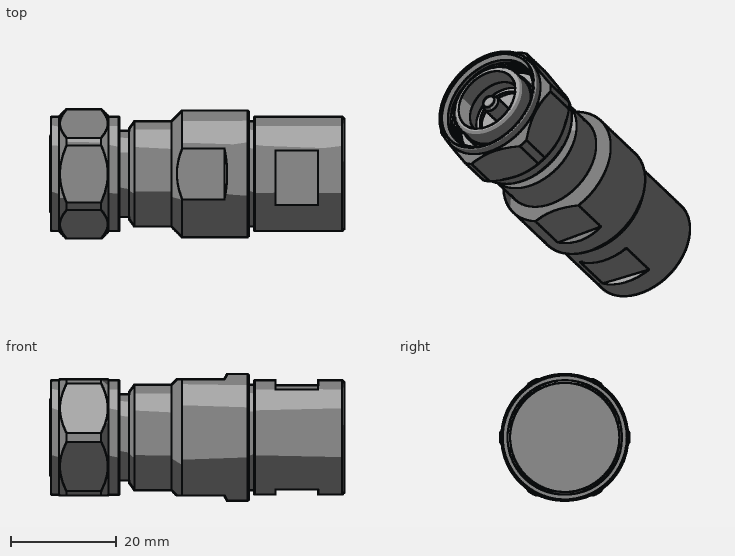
import cadquery as cq
import math


nut_start = 0.2
nut_radius = 10.85
nut_end = 13.15
nut_front_rounding = 0.3
nut_rear_chamfer = 0.15
hex_start = 1.75
hex_end = 11.1
hex_across_flats = 22.0
hex_corner_radius = 12.245

thread_minor_radius = 9.5
thread_major_radius = 10.0
thread_pitch = 0.75
thread_start = 2.2
thread_ring_count = 5
nut_mouth_radius = 10.3
nut_mouth_depth = 0.25
nut_bore_floor = 6.1

sleeve_radius = 7.55
sleeve_tip_rounding = 0.7
sleeve_mouth_radius = 6.3
sleeve_throat_radius = 5.65
sleeve_throat_depth = 3.0
sleeve_bore_radius = 5.95
sleeve_bore_depth = 5.7
collar_radius = 7.75
collar_start = 3.5
insulator_recess_radius = 5.15
insulator_depth = 6.4

pin_radius = 1.65
pin_tip_radius = 1.22
pin_tip = 0.42
pin_tip_rounding = 0.27
pin_taper_end = 1.4

neck_radius = 8.17
shoulder_start = 15.0
shoulder_start_radius = 8.6
shoulder_end = 16.0
shoulder_radius = 10.0
body_cone_start = 23.0
body_radius = 12.0
body_end = 37.6
body_edge_chamfer = 0.27
body_across_flats = 22.0
body_flat_end = 32.97
body_flat_runout = 0.55
groove_radius = 10.0

rear_start = 38.6
rear_end = 55.71
rear_radius = 10.82
rear_front_chamfer = 0.15
rear_end_chamfer = 0.5
rear_across_flats = 19.0
rear_flat_start = 42.67
rear_flat_end = 50.72
rear_flat_tilt = 4.3


def revolve_about_x(sketch):
    return sketch.close().revolve(360, (0, 0, 0), (1, 0, 0))


def quarter_round(face_x, outer_radius, rounding):
    """Middle and end point of the arc from a front face at face_x to the outer radius."""
    inset = rounding * (1 - math.sqrt(0.5))
    middle = (face_x + inset, outer_radius - inset)
    end = (face_x + rounding, outer_radius)
    return middle, end


def main_body():
    """Turned envelope from the nut face to the cable end, without the hexagon."""
    cone_end = body_cone_start + body_radius - shoulder_radius
    return revolve_about_x(
        cq.Workplane("XY")
        .moveTo(nut_start, 0)
        .lineTo(nut_start, nut_radius - nut_front_rounding)
        .threePointArc(*quarter_round(nut_start, nut_radius, nut_front_rounding))
        .lineTo(nut_end - nut_rear_chamfer, nut_radius)
        .lineTo(nut_end, nut_radius - nut_rear_chamfer)
        .lineTo(nut_end, neck_radius)
        .lineTo(shoulder_start, neck_radius)
        .lineTo(shoulder_start, shoulder_start_radius)
        .lineTo(shoulder_end, shoulder_radius)
        .lineTo(body_cone_start, shoulder_radius)
        .lineTo(cone_end, body_radius)
        .lineTo(body_end - body_edge_chamfer, body_radius)
        .lineTo(body_end, body_radius - body_edge_chamfer)
        .lineTo(body_end, groove_radius)
        .lineTo(rear_start, groove_radius)
        .lineTo(rear_start, rear_radius - rear_front_chamfer)
        .lineTo(rear_start + rear_front_chamfer, rear_radius)
        .lineTo(rear_end - rear_end_chamfer, rear_radius)
        .lineTo(rear_end, rear_radius - rear_end_chamfer)
        .lineTo(rear_end, 0)
    )


def nut_hexagon():
    """Hexagon with flats facing +Z and -Z, its corners turned down and bevelled at 45 degrees."""
    across_corners = hex_across_flats / math.cos(math.radians(30))
    prism = (
        cq.Workplane("YZ", origin=(hex_start, 0, 0))
        .polygon(6, across_corners)
        .extrude(hex_end - hex_start)
    )
    bevel = hex_corner_radius - nut_radius
    turned_blank = (
        cq.Workplane("YZ", origin=(hex_start, 0, 0))
        .circle(hex_corner_radius)
        .extrude(hex_end - hex_start)
        .edges()
        .chamfer(bevel)
    )
    return prism.intersect(turned_blank)


def nut_bore():
    """Void between the nut and the sleeve, with a 45 degree lead-in and thread rings."""
    lead_in_start = nut_start + nut_mouth_depth
    profile = (
        cq.Workplane("XY")
        .moveTo(nut_start, 0)
        .lineTo(nut_start, nut_mouth_radius)
        .lineTo(lead_in_start, nut_mouth_radius)
        .lineTo(lead_in_start + nut_mouth_radius - thread_minor_radius, thread_minor_radius)
        .lineTo(thread_start, thread_minor_radius)
    )
    for ring in range(thread_ring_count):
        ring_start = thread_start + ring * thread_pitch
        profile = (
            profile.lineTo(ring_start + thread_pitch / 2, thread_major_radius)
            .lineTo(ring_start + thread_pitch, thread_minor_radius)
        )
    profile = profile.lineTo(nut_bore_floor, thread_minor_radius).lineTo(nut_bore_floor, 0)
    return revolve_about_x(profile)


def sleeve_blank():
    """Outside of the outer contact: rounded tip and a slightly larger collar, still without a bore."""
    return revolve_about_x(
        cq.Workplane("XY")
        .lineTo(0, sleeve_radius - sleeve_tip_rounding)
        .threePointArc(*quarter_round(0, sleeve_radius, sleeve_tip_rounding))
        .lineTo(collar_start, sleeve_radius)
        .lineTo(collar_start, collar_radius)
        .lineTo(nut_bore_floor, collar_radius)
        .lineTo(nut_bore_floor, 0)
    )


def sleeve_bore():
    """Tapered mouth, straight bore behind it and a shallow recess down to the insulator face."""
    return revolve_about_x(
        cq.Workplane("XY")
        .lineTo(0, sleeve_mouth_radius)
        .lineTo(sleeve_throat_depth, sleeve_throat_radius)
        .lineTo(sleeve_throat_depth, sleeve_bore_radius)
        .lineTo(sleeve_bore_depth, sleeve_bore_radius)
        .lineTo(sleeve_bore_depth, insulator_recess_radius)
        .lineTo(insulator_depth, insulator_recess_radius)
        .lineTo(insulator_depth, 0)
    )


def centre_pin():
    return revolve_about_x(
        cq.Workplane("XY")
        .moveTo(pin_tip, 0)
        .lineTo(pin_tip, pin_tip_radius - pin_tip_rounding)
        .threePointArc(*quarter_round(pin_tip, pin_tip_radius, pin_tip_rounding))
        .lineTo(pin_taper_end, pin_radius)
        .lineTo(insulator_depth, pin_radius)
        .lineTo(insulator_depth, 0)
    )


def body_flat_cutter():
    """Removes the material above the +Z body flat, with a sloped run-out at its rear."""
    flat_height = body_across_flats / 2
    return (
        cq.Workplane("XZ")
        .moveTo(body_cone_start, flat_height)
        .lineTo(body_flat_end, flat_height)
        .lineTo(body_flat_end + body_flat_runout, body_radius)
        .lineTo(body_cone_start, body_radius)
        .close()
        .extrude(body_radius, both=True)
    )


def rear_flat_cutter():
    """Removes the material above one wrench flat of the rear nut."""
    flat_height = rear_across_flats / 2
    return (
        cq.Workplane("XY", origin=(rear_flat_start, 0, flat_height))
        .rect(rear_flat_end - rear_flat_start, 2 * rear_radius)
        .extrude(rear_radius)
        .translate(((rear_flat_end - rear_flat_start) / 2, 0, 0))
        .rotate((0, 0, 0), (1, 0, 0), rear_flat_tilt)
    )


result = main_body().union(nut_hexagon()).cut(nut_bore())
result = result.union(sleeve_blank()).cut(sleeve_bore()).union(centre_pin())
for side_angle in (0, 180):
    for cutter in (body_flat_cutter(), rear_flat_cutter()):
        result = result.cut(cutter.rotate((0, 0, 0), (1, 0, 0), side_angle))